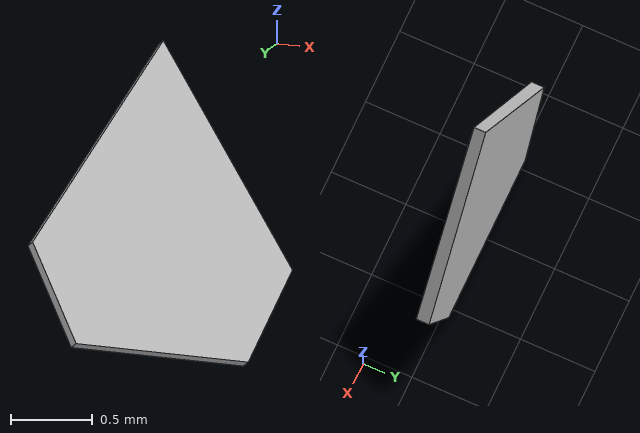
import cadquery as cq

width = 1.69
height = 2.0
base_thickness = 0.09
tip_thickness = 0.08
base_width = 1.12
corner_height = 0.62
base_offset = -0.003
tip_offset = 0.006

base_z = -height / 2
tip_z = height / 2
corner_z = base_z + corner_height


def kite_prism():
    """Five-sided outline in XZ, extruded symmetrically along Y."""
    outline = [
        (base_offset - base_width / 2, base_z),
        (base_offset + base_width / 2, base_z),
        (width / 2, corner_z),
        (tip_offset, tip_z),
        (-width / 2, corner_z),
    ]
    return cq.Workplane("XZ").polyline(outline).close().extrude(base_thickness / 2, both=True)


def tapered_slab():
    """Slab that thins evenly from the base edge to the tip."""
    section = [
        (-base_thickness / 2, base_z),
        (base_thickness / 2, base_z),
        (tip_thickness / 2, tip_z),
        (-tip_thickness / 2, tip_z),
    ]
    return cq.Workplane("YZ").polyline(section).close().extrude(width / 2, both=True)


result = kite_prism().intersect(tapered_slab())